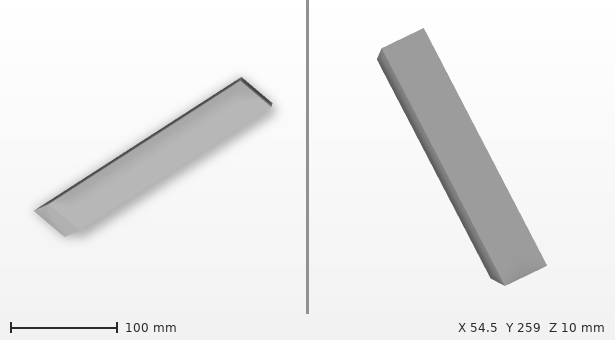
import cadquery as cq

width = 54.5
length = 259.0
height = 10.0

bevel = height

half_width = width / 2
half_length = length / 2

bar = (
    cq.Workplane("XZ")
    .polyline([
        (-half_width, 0),
        (half_width - bevel, 0),
        (half_width, height),
        (-half_width + bevel, height),
    ])
    .close()
    .extrude(half_length, both=True)
)

end_bevel_envelope = (
    cq.Workplane("YZ")
    .polyline([
        (-half_length, 0),
        (half_length, 0),
        (half_length - bevel, height),
        (-half_length + bevel, height),
    ])
    .close()
    .extrude(width, both=True)
)

result = bar.intersect(end_bevel_envelope)